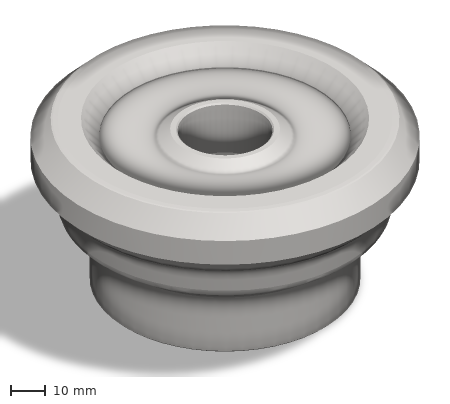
import cadquery as cq
import math

height = 55.0

rim_radius = 56.0
rim_bevel = 5.8
band_bottom_z = 40.9
band_top_z = 49.0
rim_bottom_z = band_bottom_z - rim_bevel
bevel_end_radius = rim_radius - rim_bevel

edge_bevel_width = 0.6
land_outer_radius = bevel_end_radius - edge_bevel_width
land_inner_radius = 48.2
land_fall = 0.1

recess_top_radius = 41.5
recess_floor_radius = 36.2
recess_floor_z = 49.0
recess_wall_height = 0.5

collar_slope = math.radians(30)
collar_base_radius = 20.2
collar_top_radius = 15.8
collar_top_z = recess_floor_z + (collar_base_radius - collar_top_radius) * math.tan(collar_slope)
collar_base_fillet = 1.3

counterbore_radius = 13.7
counterbore_floor_z = 34.7
counterbore_chamfer = 0.5
bore_radius = 8.6

body_top_radius = 49.6
body_bottom_radius = 48.1
body_bottom_z = 25.2
body_fillet = 4.0
hub_radius = 39.0
cone_slope = math.radians(30)
hub_top_z = body_bottom_z - (body_bottom_radius - hub_radius) * math.tan(cone_slope)
hub_fillet = 2.0
hub_chamfer = 0.6


def revolved_body():
    """Half section, listed as (radius, z), turned about the Z axis."""
    outside = [
        (hub_radius - hub_chamfer, 0),
        (hub_radius, hub_chamfer),
        (hub_radius, hub_top_z),
        (body_bottom_radius, body_bottom_z),
        (body_top_radius, rim_bottom_z),
        (bevel_end_radius, rim_bottom_z),
        (rim_radius, band_bottom_z),
        (rim_radius, band_top_z),
        (bevel_end_radius, band_top_z + rim_bevel),
    ]
    top = [
        (land_outer_radius, height - land_fall),
        (land_inner_radius, height),
        (recess_top_radius, height),
        (recess_floor_radius, recess_floor_z + recess_wall_height),
        (recess_floor_radius, recess_floor_z),
        (collar_base_radius, recess_floor_z),
        (collar_top_radius, collar_top_z),
    ]
    inside = [
        (counterbore_radius + counterbore_chamfer, collar_top_z),
        (counterbore_radius, collar_top_z - counterbore_chamfer),
        (counterbore_radius, counterbore_floor_z),
        (bore_radius, counterbore_floor_z),
        (bore_radius, 0),
    ]
    section = cq.Workplane("XZ").polyline(outside + top + inside).close()
    return section.revolve(360, (0, 0, 0), (0, 1, 0))


def round_circle(part, radius, z, fillet):
    """Fillet the circular edge found at the given radius and height."""
    tolerance = 0.01

    def matches(edge):
        on_height = abs(edge.Center().z - z) < tolerance
        return edge.geomType() == "CIRCLE" and on_height and abs(edge.radius() - radius) < tolerance

    edges = [edge for edge in part.edges().vals() if matches(edge)]
    return part.newObject(edges).fillet(fillet)


result = revolved_body()
result = round_circle(result, body_bottom_radius, body_bottom_z, body_fillet)
result = round_circle(result, hub_radius, hub_top_z, hub_fillet)
result = round_circle(result, collar_base_radius, recess_floor_z, collar_base_fillet)